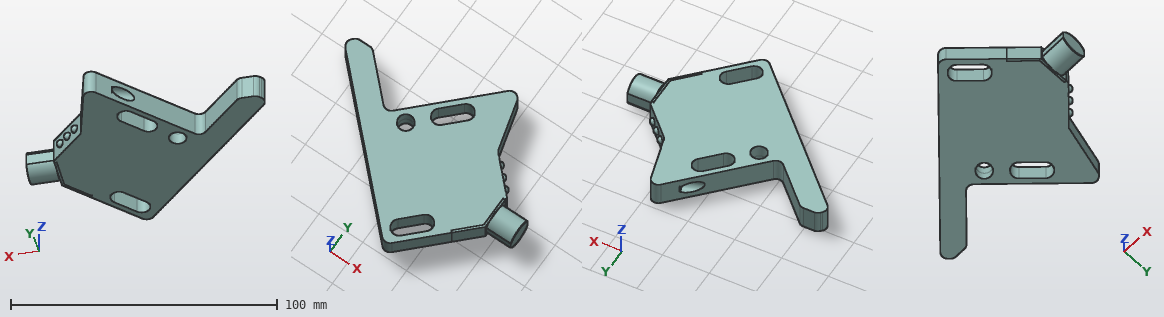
import cadquery as cq
import math

FRAME_ANGLE = 45
DIAGONAL = math.sqrt(0.5)

overall_length = 96

thickness = 10.0
arm_width = 10.0
body_edge_across = 52.05
peak_along = 62.1
lamp_face_along = 48.9
connector_face_x = 27.4
arm_end_across = 83.0
arm_tip_y = 62.2
slant_angle = 15
corner_radius = 3.0

hole_diameter = 6.6
slot_travel = 10.0
hole_along = 16.9
upper_row_across = 46.5
upper_slot_along = 34.9
lower_slot_along = 11.9
lower_slot_across = 5.7

beam_diameter = 5.0
beam_along = 44.75
beam_depth = 4.3

lamp_radius = 1.5
lamp_count = 3
lamp_pitch = 5.0
first_lamp_across = 15.1

strip_thickness = 1.0
strip_end_along = 25.9
strip_top_y = 40.6
connector_diameter = 12.0
connector_flat_width = 11.0
connector_axis_y = 33.6
arm_left_x = (2 * corner_radius - arm_end_across) * DIAGONAL - corner_radius
connector_length = overall_length + arm_left_x - connector_face_x
connector_chamfer = 0.2


def place(along, across):
    """XY position of a point given in the 45 degree frame."""
    return ((along - across) * DIAGONAL, (along + across) * DIAGONAL)


def prism(points):
    """Plate of full thickness, centred on Z = 0."""
    return cq.Workplane("XY").polyline(points).close().extrude(thickness / 2, both=True)


def round_edge(plate, point):
    """Round the upright edge that stands at the given XY point."""
    nearest = cq.selectors.NearestToPointSelector((point[0], point[1], 0))
    return plate.edges("|Z").edges(nearest).fillet(corner_radius)


def make_plate():
    lower_corner = place(0, 0)
    lower_right = (connector_face_x, connector_face_x)
    upper_right = (connector_face_x, lamp_face_along / DIAGONAL - connector_face_x)
    peak = place(peak_along, body_edge_across)
    lean = math.tan(math.radians(slant_angle))
    drop = (peak[0] + peak[1] - lamp_face_along / DIAGONAL) / (1 - lean)
    slant_foot = (peak[0] + drop * lean, peak[1] - drop)
    notch = place(arm_width, body_edge_across)
    arm_inner = (arm_width / DIAGONAL - arm_tip_y, arm_tip_y)
    arm_tip = (arm_tip_y - arm_end_across / DIAGONAL, arm_tip_y)
    arm_outer = place(0, arm_end_across)
    rounded_corners = [peak, notch, arm_inner, arm_tip, arm_outer, lower_corner]
    plate = prism([lower_right, upper_right, slant_foot, *rounded_corners])
    for corner in rounded_corners:
        plate = round_edge(plate, corner)
    return plate


def mounting_cutters():
    round_hole = (
        cq.Workplane("XY").center(*place(hole_along, upper_row_across))
        .circle(hole_diameter / 2).extrude(thickness, both=True)
    )
    cutters = [round_hole]
    for along, across in ((upper_slot_along, upper_row_across), (lower_slot_along, lower_slot_across)):
        slot = (
            cq.Workplane("XY").center(*place(along, across))
            .slot2D(slot_travel + hole_diameter, hole_diameter, FRAME_ANGLE).extrude(thickness, both=True)
        )
        cutters.append(slot)
    return cutters


def beam_cutter():
    x, y = place(beam_along, body_edge_across)
    angle = math.radians(slant_angle)
    direction = cq.Vector(math.cos(angle), math.sin(angle), 0)
    mouth = cq.Vector(x, y, 0)
    lead_in = 2 * beam_diameter
    start = mouth - direction * lead_in
    return cq.Workplane(cq.Solid.makeCylinder(beam_diameter / 2, lead_in + beam_depth, start, direction))


def strip_outline():
    """Bent strip that lies flush in the connector face and the lower edge."""
    inner_x = connector_face_x - strip_thickness
    inner_bend = (inner_x, inner_x + strip_thickness / DIAGONAL)
    return [
        place(strip_end_along, 0),
        (connector_face_x, connector_face_x),
        (connector_face_x, strip_top_y),
        (inner_x, strip_top_y),
        inner_bend,
        place(strip_end_along, strip_thickness),
    ]


def make_housing():
    housing = make_plate()
    for index in range(lamp_count):
        x, y = place(lamp_face_along, first_lamp_across + index * lamp_pitch)
        housing = housing.union(cq.Workplane("XY").center(x, y).sphere(lamp_radius))
    for cutter in mounting_cutters():
        housing = housing.cut(cutter)
    return housing.cut(beam_cutter()).cut(prism(strip_outline()))


def make_connector():
    """Cover strip with the round connector barrel, which has a flat on each Y side."""
    barrel = (
        cq.Workplane("YZ", origin=(connector_face_x, connector_axis_y, 0))
        .circle(connector_diameter / 2).extrude(connector_length)
        .faces(">X").chamfer(connector_chamfer)
    )
    flats = (
        cq.Workplane("YZ", origin=(connector_face_x, connector_axis_y, 0))
        .rect(connector_flat_width, connector_diameter).extrude(connector_length)
    )
    return prism(strip_outline()).union(barrel.intersect(flats))


housing = make_housing()
connector = make_connector()
result = cq.Compound.makeCompound([housing.val(), connector.val()])